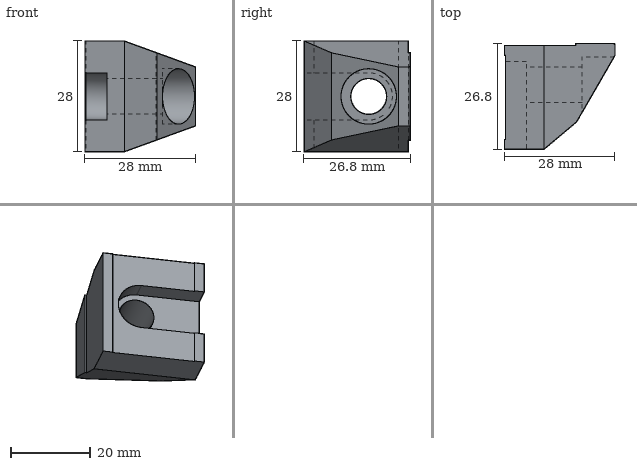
import cadquery as cq
import math

part_length = 28.0
base_length = 10.0
jaw_length = 10.0

body_height = 26.3
jaw_step = 0.5
jaw_top = body_height + jaw_step
nose_height = 3.0
jaw_corner_radius = 0.5

nose_angle = math.radians(60)
heel_angle = math.radians(40)

part_width = 28.0
half_width = part_width / 2
taper_angle = math.radians(20)

relief_depth = 0.25
land_height = 2.52

bolt_y = 16.3
bolt_diameter = 9.0
slot_width = 11.95
slot_depth = 5.55
counterbore_diameter = 14.0
counterbore_floor = 19.6


def side_profile():
    """XY outline: stepped jaw on top, two slopes underneath."""
    nose_bottom = jaw_top - nose_height
    heel_slope = math.tan(heel_angle)
    nose_slope = math.tan(nose_angle)
    rise_difference = nose_slope * part_length - heel_slope * base_length - nose_bottom
    knee_x = rise_difference / (nose_slope - heel_slope)
    knee_y = heel_slope * (knee_x - base_length)
    jaw_start = part_length - jaw_length
    return (
        cq.Workplane("XY")
        .moveTo(0, 0)
        .lineTo(base_length, 0)
        .lineTo(knee_x, knee_y)
        .lineTo(part_length, nose_bottom)
        .lineTo(part_length, jaw_top)
        .lineTo(jaw_start, jaw_top)
        .lineTo(jaw_start, body_height)
        .lineTo(0, body_height)
        .close()
        .extrude(half_width, both=True)
        .edges(cq.selectors.NearestToPointSelector((part_length, jaw_top, 0)))
        .fillet(jaw_corner_radius)
    )


def tapered_plan():
    """XZ outline: full width at the base, narrowing evenly to the nose."""
    tip_half_width = half_width - (part_length - base_length) * math.tan(taper_angle)
    return (
        cq.Workplane("XZ")
        .moveTo(0, -half_width)
        .lineTo(base_length, -half_width)
        .lineTo(part_length, -tip_half_width)
        .lineTo(part_length, tip_half_width)
        .lineTo(base_length, half_width)
        .lineTo(0, half_width)
        .close()
        .extrude(-jaw_top)
    )


def x_cylinder(diameter, start, end):
    """Cylinder on the bolt axis between two X positions."""
    return (
        cq.Workplane("YZ", origin=(start, bolt_y, 0))
        .circle(diameter / 2)
        .extrude(end - start)
    )


def land_relief():
    """Full-width relief between the two lands."""
    relief_height = body_height - 2 * land_height
    return cq.Workplane("XY").box(
        relief_depth, relief_height, part_width, centered=(False, False, True)
    ).translate((0, land_height, 0))


def bolt_slot():
    """Slot with a round end, open at the -Y side of the base."""
    channel = cq.Workplane("XY").box(slot_depth, bolt_y, slot_width, centered=(False, False, True))
    return channel.union(x_cylinder(slot_width, 0, slot_depth))


result = (
    side_profile()
    .intersect(tapered_plan())
    .cut(land_relief())
    .cut(bolt_slot())
    .cut(x_cylinder(bolt_diameter, 0, part_length))
    .cut(x_cylinder(counterbore_diameter, counterbore_floor, part_length))
)